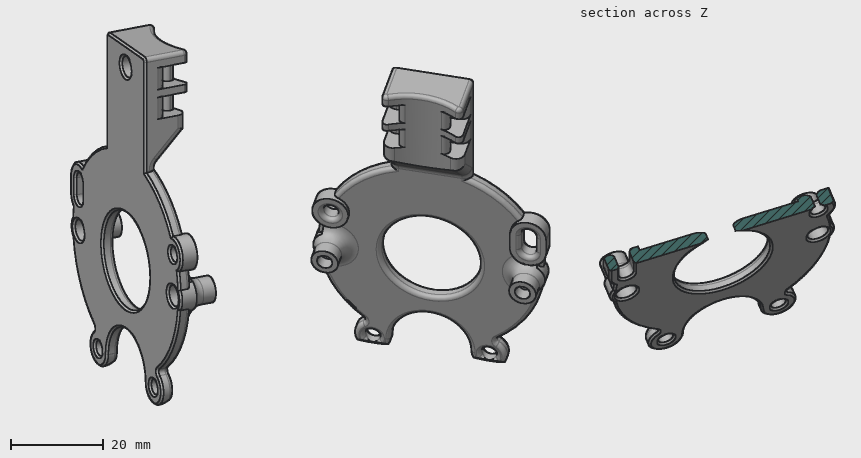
import cadquery as cq
import math

plate_thickness = 3.0
disk_radius = 25.0
bore_radius = 11.0
front_chamfer = 0.5
rear_round = 1.0
margin = 0.1

lug_radius = 4.0
lug_x = 12.9
lug_z = -24.8
cutout_radius = lug_x - lug_radius
neck_round = 0.9
foot_bevel_z = -29.15

screw_diameter = 3.4
screw_radius = screw_diameter / 2
side_x = 21.9
ear_thickness = 4.0
slot_top_z = 10.9
slot_bottom_z = 7.0
ear_hole_z = (slot_top_z + slot_bottom_z) / 2
pin_z = -0.6
pin_radius = 3.0
pin_height = 9.0
pin_flare = 3.0
pin_pad_radius = 3.8
counterbore_radius = 2.35
pin_counterbore_depth = 6.0

arm_width = 18.0
arm_half_width = arm_width / 2
arm_top_z = 49.8
arm_foot_z = 15.7
arm_hole_z = 44.7
arm_hole_depth = 4.0
saddle_radius = 14.9
saddle_x = 0.4
saddle_y = 23.6
upper_tip_round = 1.0
lower_tip_round = 2.0
top_round = 0.95
ramp_z = 21.5
ramp_foot_round = 2.0

window_top_z = 47.1
window_height = 5.0
window_spacing = 1.8
window_count = 2
window_floor_y = 5.1
window_mouth_round = 2.0
web_bottom_y = 6.6
web_half_width = 5.65
web_lower_round = 1.2
web_upper_round = 1.25
window_pitch = window_height + window_spacing
windows_bottom_z = window_top_z - window_count * window_height - (window_count - 1) * window_spacing


def cylinder(x, z, radius, start_y, end_y):
    """Cylinder along Y between two depths."""
    return (
        cq.Workplane("XZ", origin=(x, start_y, z))
        .circle(radius)
        .extrude(start_y - end_y)
    )


def blind_hole(x, z, radius, depth):
    """Hole from the front face with a chamfered mouth."""
    mouth = cq.Solid.makeCone(
        radius + front_chamfer, radius, front_chamfer, cq.Vector(x, 0, z), cq.Vector(0, 1, 0)
    )
    return cylinder(x, z, radius, 0, depth).union(cq.Workplane(mouth))


def cut_through(part, cutter, x, z, half_width, half_height):
    """Cut an opening through a part, chamfer its front rim and round its rear rim."""
    part = part.cut(cutter)
    rim = cq.selectors.BoxSelector(
        (x - half_width - margin, -margin, z - half_height - margin),
        (x + half_width + margin, pin_height, z + half_height + margin),
        boundingbox=True,
    )
    part = part.edges(rim).edges("<Y").chamfer(front_chamfer)
    return part.edges(rim).edges(">Y").fillet(rear_round)


def chamfered_front(part):
    """Break all edges of the front face."""
    return part.faces("<Y").edges().chamfer(front_chamfer)


def slot_prism(radius, depth):
    """Upright slot shape on the left ear."""
    shape = cq.Workplane("XZ", origin=(-side_x, 0, ear_hole_z))
    return shape.slot2D(slot_top_z - slot_bottom_z + 2 * radius, 2 * radius, 90).extrude(-depth)


def make_plate():
    """Disk with two foot lugs, rounded along its rear rim."""
    reach = math.hypot(lug_x, lug_z)
    along = (disk_radius**2 - lug_radius**2 + reach**2) / (2 * reach)
    across = math.sqrt(disk_radius**2 - along**2)
    neck_x = (along * lug_x + across * -lug_z) / reach
    neck_z = (along * lug_z + across * lug_x) / reach
    foot_z = lug_z - lug_radius
    plate = (
        cq.Workplane("XZ")
        .moveTo(-neck_x, neck_z)
        .threePointArc((-lug_x, foot_z), (-cutout_radius, lug_z))
        .threePointArc((0, lug_z + cutout_radius), (cutout_radius, lug_z))
        .threePointArc((lug_x, foot_z), (neck_x, neck_z))
        .threePointArc((0, disk_radius), (-neck_x, neck_z))
        .close()
        .extrude(-plate_thickness)
    )
    plate = plate.edges("|Y").edges("<X or >X").fillet(neck_round)
    plate = plate.faces(">Y").edges().fillet(rear_round)
    return chamfered_front(plate)


def make_pin(x):
    """Pin with a flared root, trimmed to the disk and its own pad."""
    flare_end = pin_radius + pin_flare
    flare_top = plate_thickness + pin_flare
    diagonal = pin_flare * (1 - math.sqrt(0.5))
    pin = (
        cq.Workplane("XY")
        .lineTo(flare_end, 0)
        .lineTo(flare_end, plate_thickness)
        .threePointArc((pin_radius + diagonal, plate_thickness + diagonal), (pin_radius, flare_top))
        .lineTo(pin_radius, pin_height)
        .lineTo(0, pin_height)
        .close()
        .revolve(360, (0, 0, 0), (0, 1, 0))
        .translate((x, 0, pin_z))
    )
    pad = chamfered_front(cylinder(x, pin_z, pin_pad_radius, 0, pin_height))
    inner_disk = cylinder(0, 0, disk_radius - rear_round, 0, pin_height)
    return pin.intersect(pad.union(inner_disk))


def saddle_section(tip_round, bottom_z, top_z):
    """Arm section with a saddle-shaped rear and rounded tips, extruded upward."""

    def tip(side):
        center_x = side * (arm_half_width - tip_round)
        offset = center_x - saddle_x
        reach = saddle_radius + tip_round
        center_y = saddle_y - math.sqrt(reach**2 - offset**2)
        wall = (side * arm_half_width, center_y)
        crest = (center_x, center_y + tip_round)
        blend = (
            saddle_x + offset * saddle_radius / reach,
            saddle_y + (center_y - saddle_y) * saddle_radius / reach,
        )
        return wall, crest, blend

    left_wall, left_crest, left_blend = tip(-1)
    right_wall, right_crest, right_blend = tip(1)
    return (
        cq.Workplane("XY", origin=(0, 0, bottom_z))
        .moveTo(-arm_half_width, 0)
        .lineTo(arm_half_width, 0)
        .lineTo(*right_wall)
        .threePointArc(right_crest, right_blend)
        .threePointArc((saddle_x, saddle_y - saddle_radius), left_blend)
        .threePointArc(left_crest, left_wall)
        .close()
        .extrude(top_z - bottom_z)
    )


def make_ramp_block():
    """Side profile of the lower arm, rounded along the edges of its ramp."""
    rear_y = saddle_y
    block = (
        cq.Workplane("YZ", origin=(-arm_half_width, 0, 0))
        .moveTo(0, arm_foot_z)
        .lineTo(plate_thickness, arm_foot_z)
        .lineTo(plate_thickness, ramp_z + plate_thickness)
        .lineTo(rear_y, ramp_z + rear_y)
        .lineTo(0, ramp_z + rear_y)
        .close()
        .extrude(arm_width)
    )
    foot = cq.selectors.NearestToPointSelector((0, plate_thickness, ramp_z + plate_thickness))
    block = block.edges("|X").edges(foot).fillet(ramp_foot_round)
    ramp_edges = cq.selectors.BoxSelector(
        (-arm_half_width - margin, plate_thickness - margin, arm_foot_z),
        (arm_half_width + margin, rear_y, ramp_z + rear_y - margin),
    )
    return block.faces("<X or >X").edges(ramp_edges).fillet(lower_tip_round)


def make_window(top_z):
    """Strap window: everything behind the floor except the web below the saddle."""
    bottom_z = top_z - window_height
    rear_y = saddle_y
    floor = (
        cq.Workplane("XY", origin=(0, 0, bottom_z))
        .rect(arm_width, 2 * window_floor_y)
        .extrude(window_height)
        .edges("|Z and >Y")
        .fillet(window_mouth_round)
    )
    web = (
        cq.Workplane("XY", origin=(0, (web_bottom_y + rear_y) / 2, bottom_z))
        .rect(2 * web_half_width, rear_y - web_bottom_y)
        .extrude(window_height)
        .cut(
            cq.Workplane("XY", origin=(saddle_x, saddle_y, bottom_z))
            .circle(saddle_radius)
            .extrude(window_height)
        )
        .edges("|Z")
    )
    web = web.edges(">>Y[-1] or >>Y[-2]").fillet(web_upper_round)
    web = web.edges("|Z and <Y").fillet(web_lower_round)
    opening = (
        cq.Workplane("XY", origin=(0, rear_y / 2, bottom_z))
        .rect(2 * arm_width, rear_y)
        .extrude(window_height)
    )
    return opening.cut(floor).cut(web)


def make_arm():
    """Arm rising from the disk: ramped lower part, saddle upper part, strap windows."""
    upper = saddle_section(upper_tip_round, windows_bottom_z, arm_top_z)
    upper = upper.faces(">Z").edges("not <Y").fillet(top_round)
    lower = saddle_section(lower_tip_round, arm_foot_z, windows_bottom_z).intersect(make_ramp_block())
    arm = upper.union(lower)
    for index in range(window_count):
        arm = arm.cut(make_window(window_top_z - index * window_pitch))
    return chamfered_front(arm)


body = make_plate().union(make_arm())
body = body.union(chamfered_front(slot_prism(lug_radius, ear_thickness)))
body = body.union(chamfered_front(cylinder(side_x, ear_hole_z, lug_radius, 0, ear_thickness)))
for side in (-1, 1):
    body = body.union(make_pin(side * side_x))

bevel = (
    cq.Workplane("YZ", origin=(-disk_radius, 0, 0))
    .moveTo(0, foot_bevel_z)
    .lineTo(ear_thickness, foot_bevel_z + ear_thickness)
    .lineTo(ear_thickness, foot_bevel_z)
    .close()
    .extrude(2 * disk_radius)
)
body = body.cut(bevel)

through_holes = [
    (0, 0, bore_radius, plate_thickness),
    (-lug_x, lug_z, screw_radius, plate_thickness),
    (lug_x, lug_z, screw_radius, plate_thickness),
    (side_x, ear_hole_z, screw_radius, ear_thickness),
]
for x, z, radius, thickness in through_holes:
    body = cut_through(body, cylinder(x, z, radius, 0, thickness), x, z, radius, radius)
slot_half_height = (slot_top_z - slot_bottom_z) / 2 + screw_radius
body = cut_through(
    body, slot_prism(screw_radius, ear_thickness), -side_x, ear_hole_z, screw_radius, slot_half_height
)

body = body.cut(blind_hole(0, arm_hole_z, counterbore_radius, arm_hole_depth))
for side in (-1, 1):
    body = body.cut(blind_hole(side * side_x, pin_z, counterbore_radius, pin_counterbore_depth))
    body = body.cut(cylinder(side * side_x, pin_z, screw_radius, 0, pin_height))
result = body